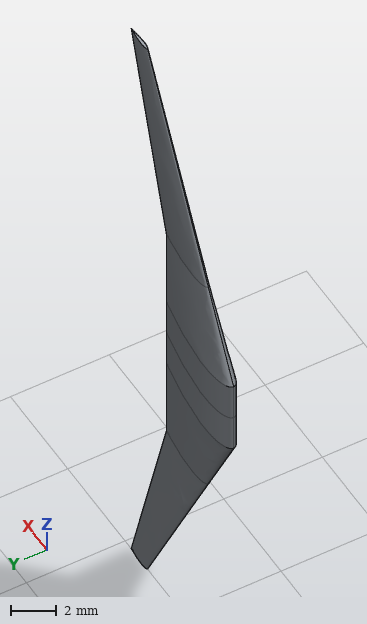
import cadquery as cq
import math

span = 33.4
centre_half_span = 1.97
kink_half_span = 6.3
tip_half_span = span / 2

root_trailing_x = 5.88
tip_leading_x = 7.5
tip_trailing_x = 8.95

root_thickness = 1.0
kink_thickness = 0.47
tip_thickness = 0.17

sweep = tip_leading_x / (tip_half_span - centre_half_span)
kink_leading_x = sweep * (kink_half_span - centre_half_span)

NACA_FACTOR = 5
NACA_TERMS = ((0.2969, 0.5), (-0.126, 1), (-0.3516, 2), (0.2843, 3), (-0.1036, 4))
POINTS_PER_SIDE = 16


def half_thickness(s, thickness):
    """Half the section thickness at chord fraction s."""
    return NACA_FACTOR * thickness * sum(factor * s**power for factor, power in NACA_TERMS)


def section(z, leading_x, trailing_x, thickness):
    """Closed airfoil wire at height z, with a round nose and a sharp tail."""
    chord = trailing_x - leading_x
    upper = []
    for i in range(1, POINTS_PER_SIDE):
        s = (1 - math.cos(math.pi * i / POINTS_PER_SIDE)) / 2
        upper.append(cq.Vector(leading_x + chord * s, half_thickness(s, thickness), z))
    lower = [cq.Vector(p.x, -p.y, z) for p in upper]

    nose = cq.Vector(leading_x, 0, z)
    tail = cq.Vector(trailing_x, 0, z)
    upper_edge = cq.Edge.makeSpline([tail] + upper[::-1] + [nose])
    lower_edge = cq.Edge.makeSpline([nose] + lower + [tail])
    return cq.Wire.assembleEdges([upper_edge, lower_edge])


half_stations = [
    (centre_half_span, 0.0, root_trailing_x, root_thickness),
    (kink_half_span, kink_leading_x, root_trailing_x, kink_thickness),
    (tip_half_span, tip_leading_x, tip_trailing_x, tip_thickness),
]
lower_stations = [(-z, *shape) for z, *shape in reversed(half_stations)]
middle_station = (0.0, 0.0, root_trailing_x, root_thickness)
stations = lower_stations + [middle_station] + half_stations

blade = cq.Solid.makeLoft([section(*station) for station in stations], True)
result = cq.Workplane("XY").newObject([blade])